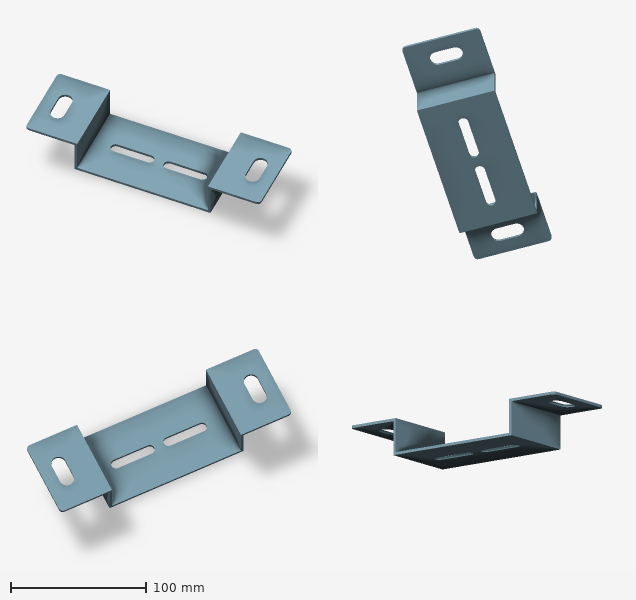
import cadquery as cq

length = 190.0
width = 60.0
height = 28.0
thickness = 2.0

channel_length = 110.0
corner_radius = 3.0

flange_slot_length = 25.0
flange_slot_width = 11.0
flange_slot_edge_distance = 16.0

floor_slot_length = 35.0
floor_slot_width = 7.5
floor_slot_spacing = 43.0

half_length = length / 2
channel_outer = channel_length / 2
channel_inner = channel_outer - thickness
flange_slot_x = half_length - flange_slot_edge_distance
flange_underside = height - thickness


def bent_strip():
    """Hat-shaped strip, centred on X and Y, with the floor underside at Z = 0."""
    right_half = [
        (channel_outer, 0),
        (channel_outer, flange_underside),
        (half_length, flange_underside),
        (half_length, height),
        (channel_inner, height),
        (channel_inner, thickness),
    ]
    left_half = [(-x, z) for x, z in reversed(right_half)]
    profile = cq.Workplane("XZ").polyline(right_half + left_half).close()
    return profile.extrude(width / 2, both=True)


def slot_pair(spacing, slot_length, slot_width, angle, bottom):
    """Two through-cutters, symmetric about X = 0, each one sheet thickness tall."""
    return (
        cq.Workplane("XY", origin=(0, 0, bottom))
        .pushPoints([(-spacing / 2, 0), (spacing / 2, 0)])
        .slot2D(slot_length, slot_width, angle)
        .extrude(thickness)
    )


bracket = bent_strip()

bracket = bracket.faces("<X or >X").edges("|Z").fillet(corner_radius)

flange_slots = slot_pair(2 * flange_slot_x, flange_slot_length, flange_slot_width, 90, flange_underside)
floor_slots = slot_pair(floor_slot_spacing, floor_slot_length, floor_slot_width, 0, 0)

result = bracket.cut(flange_slots).cut(floor_slots)